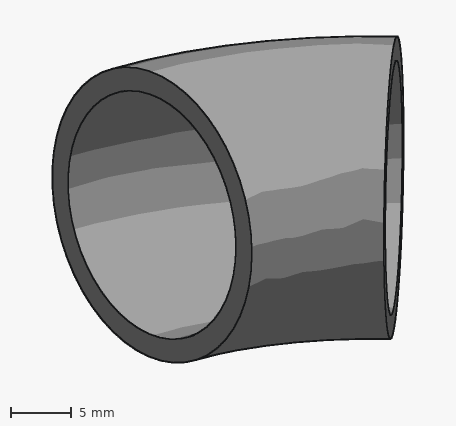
import cadquery as cq
import math

overall_length = 29.4
bend_angle = 45.0
bend_ratio = 1.1
wall = 2.0

end_cosine = math.cos(math.radians(bend_angle))
outer_diameter = overall_length / ((bend_ratio + 0.5) - (bend_ratio - 0.5) * end_cosine)
outer_radius = outer_diameter / 2
inner_radius = outer_radius - wall
bend_radius = bend_ratio * outer_diameter

result = (
    cq.Workplane("XZ")
    .circle(outer_radius)
    .circle(inner_radius)
    .revolve(bend_angle, (bend_radius, 0, 0), (bend_radius, -1, 0))
)